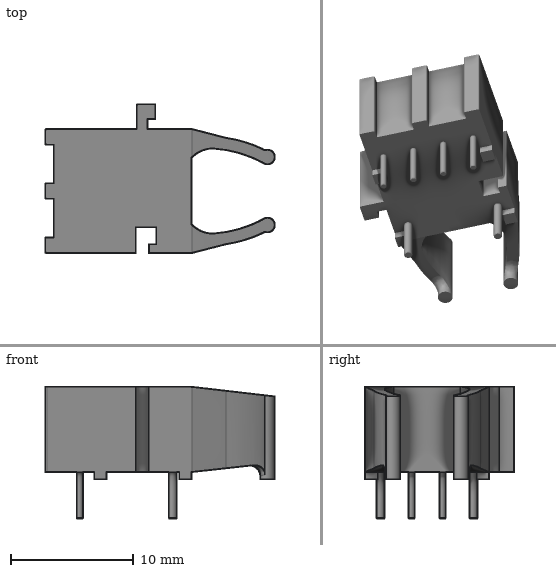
import cadquery as cq
import math

body_length = 12.0
body_width = 10.17
body_height = 7.0
half_width = body_width / 2
corner_radius = 0.11

rib_depth = 0.7
rib_width = 1.3

tongue_start = 7.48
tongue_reach = 2.03
tongue_neck_width = 0.9
tongue_hook_width = 1.55
tongue_hook_gap = 0.8
slot_start = 7.43
slot_depth = 2.1
slot_neck_width = 1.07
slot_hook_width = 1.65
slot_lip = 0.73

foot_size = 1.03
foot_height = 0.6
foot_positions = [4.0, body_length - foot_size]
pin_length = 3.8
pin_pitch = 2.54
pin_chamfer = 0.05
thin_pin_diameter = 0.53
thin_pin_x = 2.84
thick_pin_diameter = 0.68
thick_pin_x = 10.45

total_length = 18.8
bead_radius = 0.6
bead_x = total_length - bead_radius
bead_y = 2.78
arm_length = total_length - body_length
tip_top_z = 6.2
tip_bottom_z = 0.75
bead_blend_radius = 0.8
outer_bend = (14.8, 4.36)
outer_mid = (16.6, 3.93)
outer_end_x = 18.0
inner_root_y = 2.73
inner_bend = (13.72, 3.48)
inner_root_radius = 2.4
inner_mid = (15.89, 3.1)
inner_end_x = 17.9


def block(x_start, x_end, y_start, y_end, z_start, z_end):
    """Box given by its limits along each axis."""
    size = (x_end - x_start, y_end - y_start, z_end - z_start)
    return cq.Workplane("XY").box(*size, centered=False).translate((x_start, y_start, z_start))


def body_slab(x_start, x_end, y_start, y_end):
    """Box as tall as the body."""
    return block(x_start, x_end, y_start, y_end, 0, body_height)


def make_body():
    """Block with three rounded ribs on its back face."""
    body = body_slab(rib_depth, body_length, -half_width, half_width)
    outer_rib_y = half_width - rib_width / 2
    for y in (-outer_rib_y, 0, outer_rib_y):
        rib = body_slab(0, rib_depth, y - rib_width / 2, y + rib_width / 2)
        body = body.union(rib.edges("|Z and <X").fillet(corner_radius))
    return body


def make_tongue():
    tip_y = half_width + tongue_reach
    neck = body_slab(tongue_start, tongue_start + tongue_neck_width, half_width, tip_y)
    hook = body_slab(tongue_start, tongue_start + tongue_hook_width, half_width + tongue_hook_gap, tip_y)
    return neck.union(hook).edges("|Z and <X and >Y").fillet(corner_radius)


def make_slot():
    floor_y = -half_width + slot_depth
    neck = body_slab(slot_start, slot_start + slot_neck_width, -half_width, floor_y)
    hook = body_slab(slot_start, slot_start + slot_hook_width, -half_width + slot_lip, floor_y)
    return neck.union(hook)


def make_pin(diameter, x, y):
    pin = cq.Workplane("XY").circle(diameter / 2).extrude(-pin_length)
    return pin.faces("<Z").chamfer(pin_chamfer).translate((x, y, 0))


def bead_side_y(x, side):
    """Y on the bead outline at x; side is +1 for the outer half, -1 for the inner half."""
    return bead_y + side * math.sqrt(bead_radius**2 - (x - bead_x) ** 2)


def side_taper(root_bottom_z, end_bottom_z):
    """Solid with the arm's sloping top and the given heights for the two ends of its underside."""
    return (
        cq.Workplane("XZ")
        .moveTo(body_length, root_bottom_z)
        .lineTo(body_length, body_height)
        .lineTo(total_length, tip_top_z)
        .lineTo(total_length, end_bottom_z)
        .close()
        .extrude(-half_width)
    )


def make_arm():
    """Curved arm on the +Y side, with its bead and the blend between them."""
    plan = (
        cq.Workplane("XY")
        .moveTo(body_length, half_width)
        .lineTo(*outer_bend)
        .threePointArc(outer_mid, (outer_end_x, bead_side_y(outer_end_x, 1)))
        .lineTo(bead_x, bead_y)
        .lineTo(inner_end_x, bead_side_y(inner_end_x, -1))
        .threePointArc(inner_mid, inner_bend)
        .radiusArc((body_length, inner_root_y), -inner_root_radius)
        .close()
        .extrude(body_height)
    )
    neck_bottom_z = tip_bottom_z * (bead_x - bead_radius - body_length) / arm_length
    arm = plan.intersect(side_taper(0, tip_bottom_z))
    bead = cq.Workplane("XY").circle(bead_radius).extrude(body_height + foot_height)
    bead = bead.translate((bead_x, bead_y, -foot_height))
    arm = arm.union(bead.intersect(side_taper(-foot_height, -foot_height)))
    neck_edge = cq.selectors.NearestToPointSelector((bead_x - bead_radius, bead_y, neck_bottom_z))
    return arm.edges(neck_edge).fillet(bead_blend_radius)


def make_feet():
    """Four square feet along the two long sides."""
    feet = cq.Workplane("XY")
    for x in foot_positions:
        for y in (-half_width, half_width - foot_size):
            feet = feet.union(block(x, x + foot_size, y, y + foot_size, -foot_height, 0))
    return feet


def make_pins():
    """Row of four thin pins near the back and two thick pins in line with the outer thin ones."""
    outer_pin_y = 1.5 * pin_pitch
    pins = cq.Workplane("XY")
    for index in range(4):
        pins = pins.union(make_pin(thin_pin_diameter, thin_pin_x, index * pin_pitch - outer_pin_y))
    for y in (-outer_pin_y, outer_pin_y):
        pins = pins.union(make_pin(thick_pin_diameter, thick_pin_x, y))
    return pins


arm = make_arm()
result = (
    make_body()
    .union(make_tongue())
    .cut(make_slot())
    .union(make_feet())
    .union(make_pins())
    .union(arm)
    .union(arm.mirror("XZ"))
)